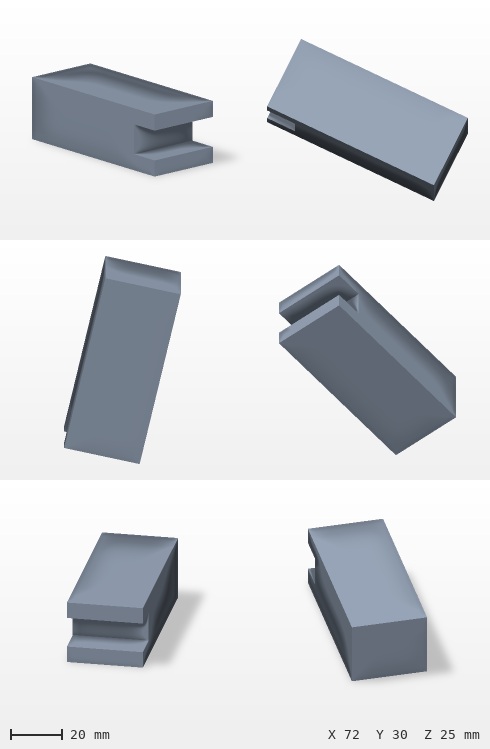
import cadquery as cq

length = 72.0
width = 30.0
height = 25.0

slot_size = 12.0

block = cq.Workplane("XY").box(length, width, height)

slot_center_x = (length - slot_size) / 2
slot = (
    cq.Workplane("XY")
    .box(slot_size, width, slot_size)
    .translate((slot_center_x, 0, 0))
)

result = block.cut(slot)